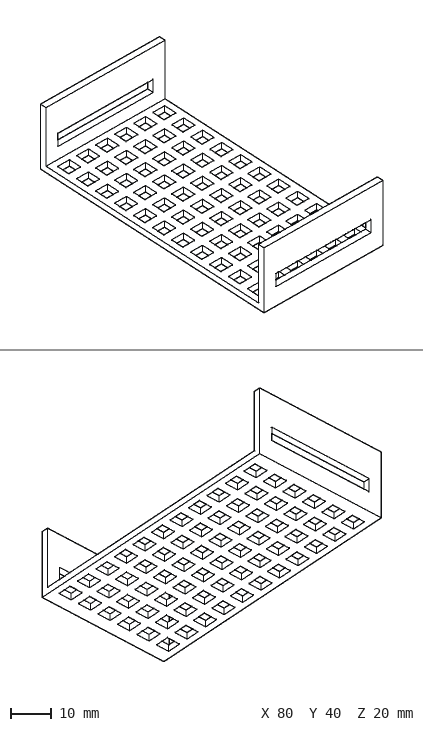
import cadquery as cq

length = 80.0
width = 40.0
height = 20.0
thickness = 2.0

hole_size = 4.0
hole_columns = 11
hole_rows = 6
end_margin = 2 * thickness
side_margin = thickness
column_pitch = (length - 2 * end_margin - hole_size) / (hole_columns - 1)
row_pitch = (width - 2 * side_margin - hole_size) / (hole_rows - 1)

slot_side_margin = 4.0
slot_width = width - 2 * slot_side_margin
slot_height = 4.0
slot_top = height / 2
slot_center_z = slot_top - slot_height / 2


def make_tray_body():
    """Flat floor with an upright wall at each end, open along both sides."""
    block = cq.Workplane("XY").box(length, width, height, centered=(True, True, False))
    opening = (
        cq.Workplane("XY")
        .workplane(offset=thickness)
        .box(length - 2 * thickness, width, height, centered=(True, True, False))
    )
    return block.cut(opening)


def make_floor_holes():
    """Square prisms, centred on the floor, that pierce it completely."""
    return (
        cq.Workplane("XY")
        .rarray(column_pitch, row_pitch, hole_columns, hole_rows)
        .rect(hole_size, hole_size)
        .extrude(thickness)
    )


def make_hand_slots():
    """One bar along X that opens the same slot in both end walls."""
    return (
        cq.Workplane("XY")
        .box(length, slot_width, slot_height)
        .translate((0, 0, slot_center_z))
    )


result = make_tray_body().cut(make_floor_holes()).cut(make_hand_slots())